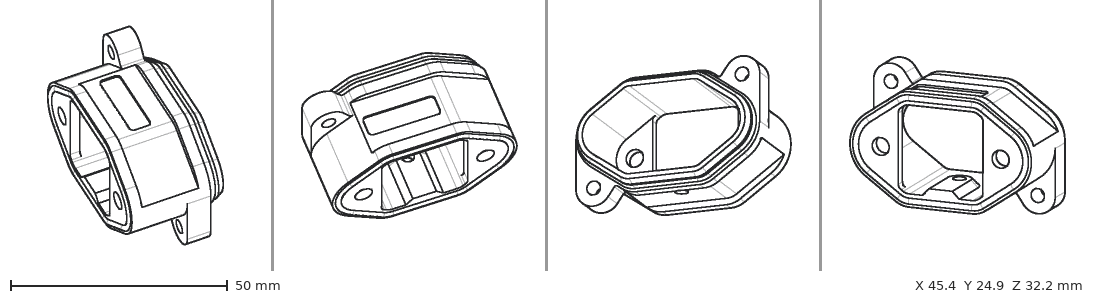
import cadquery as cq
import math

half_length = 22.7
half_height = 13.75
overall_height = 32.2
end_radius = 9.0
corner_radius = 5.9
shoulder_angle = math.radians(35)
shoulder_sin = math.sin(shoulder_angle)
shoulder_cos = math.cos(shoulder_angle)
end_x = half_length - end_radius
corner_z = half_height - corner_radius
corner_x = end_x - (corner_z * shoulder_cos + corner_radius - end_radius) / shoulder_sin

body_front = 0.6
body_back = 20.7
taper_start = 23.25
total_depth = 24.85

neck_inset = 1.15
neck_end_inset = 2.0
front_bead_radius = 0.73
front_bead_inset = 1.45
rear_bead_radius = 0.85
rear_bead_inset = 1.4

cavity_inset = 3.2
plate_thickness = 2.5
window_width = 21.15
window_corner = 1.5
plate_hole_diameter = 4.2
plate_hole_x = 15.0

ear_radius = 4.35
ear_z = overall_height / 2 - ear_radius
ear_thickness = 6.0
ear_hole_diameter = 3.3
ear_fillet = 0.55
ear_x = half_length - ear_radius

relief_front = 3.45
relief_back = 17.85
relief_inset = 1.55
relief_z = half_height - relief_inset

nameplate_length = 17.6
nameplate_width = 5.2
nameplate_corner = 1.0
nameplate_depth = 0.5
nameplate_x = -1.95
nameplate_y = 10.55

tongue_width = 5.8
tongue_top_z = -8.85
tongue_hole_diameter = 3.1
tongue_hole_y = 11.8
floor_z = cavity_inset - half_height


def plane_at(y):
    """XZ plane at depth y; a negative extrusion runs toward +Y."""
    return cq.Workplane("XZ", origin=(0, y, 0))


def outline(y, inset=0.0):
    """Closed housing outline at depth y, moved inward by inset."""
    end = end_radius - inset
    corner = corner_radius - inset
    top = half_height - inset
    tip = half_length - inset
    end_tangent_x = end_x + end * shoulder_sin
    end_tangent_z = end * shoulder_cos
    corner_tangent_x = corner_x + corner * shoulder_sin
    corner_tangent_z = corner_z + corner * shoulder_cos
    middle_x = corner_x + corner * math.sin(shoulder_angle / 2)
    middle_z = corner_z + corner * math.cos(shoulder_angle / 2)
    return (
        plane_at(y)
        .moveTo(0, top)
        .lineTo(corner_x, top)
        .threePointArc((middle_x, middle_z), (corner_tangent_x, corner_tangent_z))
        .lineTo(end_tangent_x, end_tangent_z)
        .threePointArc((tip, 0), (end_tangent_x, -end_tangent_z))
        .lineTo(corner_tangent_x, -corner_tangent_z)
        .threePointArc((middle_x, -middle_z), (corner_x, -top))
        .lineTo(-corner_x, -top)
        .threePointArc((-middle_x, -middle_z), (-corner_tangent_x, -corner_tangent_z))
        .lineTo(-end_tangent_x, -end_tangent_z)
        .threePointArc((-tip, 0), (-end_tangent_x, end_tangent_z))
        .lineTo(-corner_tangent_x, corner_tangent_z)
        .threePointArc((-middle_x, middle_z), (-corner_x, top))
        .close()
    )


def prism(y_start, y_end, inset=0.0):
    return outline(y_start, inset).extrude(y_start - y_end)


def bead(y, inset, radius):
    """Round bead whose centre line follows the outline at depth y."""
    section = cq.Workplane("YZ").center(y, half_height - inset).circle(radius)
    return section.sweep(outline(y, inset))


def half_turn(shape):
    return shape.rotate((0, 0, 0), (0, 1, 0), 180)


def neck():
    straight = prism(body_back, taper_start, neck_inset)
    wires = [outline(taper_start, neck_inset).val(), outline(total_depth, neck_end_inset).val()]
    return straight.union(cq.Workplane(cq.Solid.makeLoft(wires, True)))


def ear():
    """Ear at the upper left; its inner flank meets the shoulder squarely, with a small fillet."""
    flank_x = -ear_x + ear_radius * shoulder_cos
    flank_z = ear_z + ear_radius * shoulder_sin
    crown_x = -ear_x - ear_radius * math.sin(shoulder_angle / 2)
    crown_z = ear_z + ear_radius * math.cos(shoulder_angle / 2)
    shoulder_distance = end_x * shoulder_sin + end_radius
    flank_length = flank_z * shoulder_cos - flank_x * shoulder_sin - shoulder_distance
    foot_x = flank_x + flank_length * shoulder_sin
    foot_z = flank_z - flank_length * shoulder_cos
    fillet_start = (foot_x - ear_fillet * shoulder_sin, foot_z + ear_fillet * shoulder_cos)
    fillet_end = (foot_x + ear_fillet * shoulder_cos, foot_z + ear_fillet * shoulder_sin)
    plate = (
        plane_at(body_back)
        .moveTo(-half_length, 0)
        .lineTo(-half_length, ear_z)
        .threePointArc((crown_x, crown_z), (flank_x, flank_z))
        .lineTo(*fillet_start)
        .tangentArcPoint(fillet_end, relative=False)
        .lineTo(-end_x, 0)
        .close()
        .extrude(ear_thickness)
    )
    hole = plane_at(body_back).center(-ear_x, ear_z).circle(ear_hole_diameter / 2).extrude(ear_thickness)
    return plate.cut(hole)


def relief():
    """Flat across the top that bends down along the right shoulder, parallel to the outline."""
    bend_radius = corner_radius - relief_inset
    bend_start = (corner_x, relief_z)
    bend_middle = (
        corner_x + bend_radius * math.sin(shoulder_angle / 2),
        corner_z + bend_radius * math.cos(shoulder_angle / 2),
    )
    bend_end = (corner_x + bend_radius * shoulder_sin, corner_z + bend_radius * shoulder_cos)
    side_z = bend_end[1] - (half_length - bend_end[0]) * math.tan(shoulder_angle)
    return (
        plane_at(relief_front)
        .moveTo(-half_length, relief_z)
        .lineTo(*bend_start)
        .threePointArc(bend_middle, bend_end)
        .lineTo(half_length, side_z)
        .lineTo(half_length, half_height)
        .lineTo(-half_length, half_height)
        .close()
        .extrude(relief_front - relief_back)
    )


def nameplate_pocket():
    return (
        cq.Workplane("XY", origin=(nameplate_x, nameplate_y, relief_z - nameplate_depth))
        .rect(nameplate_length, nameplate_width)
        .extrude(nameplate_depth)
        .edges("|Z")
        .fillet(nameplate_corner)
    )


def window():
    """Cavity section carried through the plate, cut short by two upright sides."""
    upright = plane_at(body_front).rect(window_width, 2 * half_height).extrude(-plate_thickness)
    section = prism(body_front, body_front + plate_thickness, cavity_inset)
    opening = section.intersect(upright)
    sides = opening.faces("<X or >X").edges("|Y")
    return sides.fillet(window_corner)


def tongue():
    top_half = tongue_width / 2
    height = tongue_top_z - floor_z
    foot_half = top_half + height
    section = [
        (-foot_half, floor_z),
        (-top_half, tongue_top_z),
        (top_half, tongue_top_z),
        (foot_half, floor_z),
    ]
    bar = plane_at(body_front).polyline(section).close().extrude(body_front - tongue_hole_y)
    end_base = cq.Vector(0, tongue_hole_y, floor_z)
    round_end = cq.Workplane(cq.Solid.makeCone(foot_half, top_half, height, pnt=end_base))
    return bar.union(round_end)


def tongue_hole():
    return (
        cq.Workplane("XY", origin=(0, tongue_hole_y, -half_height))
        .circle(tongue_hole_diameter / 2)
        .extrude(half_height + tongue_top_z)
    )


def plate_holes():
    return (
        plane_at(body_front)
        .pushPoints([(-plate_hole_x, 0), (plate_hole_x, 0)])
        .circle(plate_hole_diameter / 2)
        .extrude(-plate_thickness)
    )


body = prism(body_front, body_back).cut(relief()).cut(half_turn(relief()))
body = body.cut(nameplate_pocket())
body = body.union(neck())
body = body.union(ear()).union(half_turn(ear()))
body = body.union(bead(front_bead_radius, front_bead_inset, front_bead_radius))
body = body.union(bead(body_back + rear_bead_radius, rear_bead_inset, rear_bead_radius))

body = body.cut(prism(body_front + plate_thickness, total_depth, cavity_inset))
body = body.cut(window()).cut(plate_holes())
result = body.union(tongue()).cut(tongue_hole())